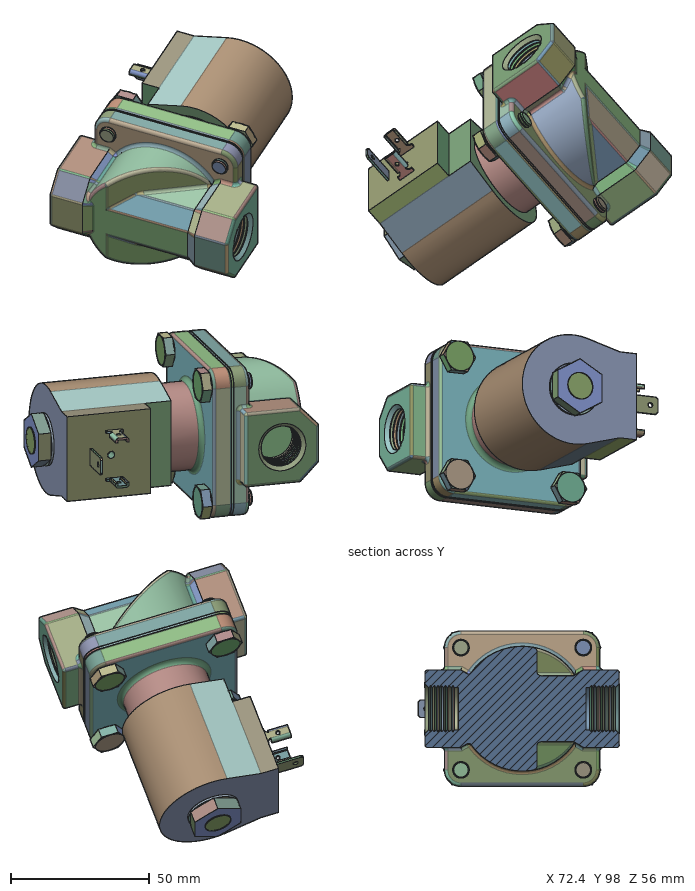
import cadquery as cq
import math


BODY_LENGTH = 70.0
PORT_HALF = 14.0
PORT_EDGE_RADIUS = 1.0
PORT_CHAMFER = 7.0
TAPER_OUTER_X = 22.0
TAPER_INNER_X = 18.5
PASSAGE_HALF = 11.9
PASSAGE_FLAT_HALF = 6.0
BOWL_FACE_Y = -12.0
LONG_EDGE_RADIUS = 1.0

THREAD_MINOR_RADIUS = 7.5
THREAD_MAJOR_RADIUS = 8.3
THREAD_PITCH = 1.34
THREAD_TURNS = 7
THREAD_FLANK = 0.7
PORT_MOUTH_RADIUS = 8.9
PORT_DEPTH = 12.0

BOWL_RADIUS = 22.5
BOWL_EDGE_RADIUS = 1.2
BOWL_CORNER_RADIUS = 1.1
SLOPE_START_X = -13.2
SLOPE_ANGLE = 32.8

FLANGE_SIZE = 56.0
FLANGE_CORNER_RADIUS = 6.0
FLANGE_EDGE_RADIUS = 1.3
FLANGE_BOTTOM_Y = 10.0
FLANGE_TOP_Y = 16.0
ROOT_RADIUS = 1.2
GASKET_INSET = 0.3
COVER_BOTTOM_Y = 16.75
COVER_TOP_Y = 23.75
COVER_TOP_EDGE_RADIUS = 1.0
COVER_BOTTOM_EDGE_RADIUS = 0.6
NECK_RADIUS = 16.05
NECK_ROOT_RADIUS = 1.8

BOLT_OFFSET = 22.0
BOLT_RADIUS = 3.0
BOLT_CORE_RADIUS = 2.6
BOLT_PITCH = 1.0
BOLT_TIP_TURNS = 3
BOLT_TIP_Y = 7.95
BOLT_COLLAR_RADIUS = 4.8
BOLT_HEAD_BOTTOM_Y = 24.25
BOLT_HEAD_TOP_Y = 27.7
BOLT_HEAD_FLATS = 11.0
BOLT_CROWN_HEIGHT = 0.2

COIL_BOTTOM_Y = 36.65
COIL_TOP_Y = 78.05
COIL_RADIUS = 20.3
COIL_BACK_X = -18.3
PLATE_BACK_X = -24.95
PLATE_BOTTOM_Y = 46.5
PLATE_HALF = 16.0
SCREW_HOLE_RADIUS = 1.3
SCREW_HOLE_Y = 61.4
SCREW_HOLE_DEPTH = 5.0

COLLAR_RADIUS = 9.6
NUT_BOTTOM_Y = 78.9
NUT_TOP_Y = 83.6
NUT_CORNER_RADIUS = 10.1
NUT_CROWN_RADIUS = 4.9
OVERALL_TOP_Y = 83.97

TERMINAL_WIDTH = 6.4
TERMINAL_THICKNESS = 0.8
BLADE_TIP_X = -37.42
BLADE_Y = 69.0
BLADE_CHAMFER = 0.8
BLADE_HOLE_X = -34.4
BLADE_HOLE_RADIUS = 0.9
CHANNEL_TIP_X = -35.05
CHANNEL_END_X = -27.6
CHANNEL_BASE_X = -26.3
CHANNEL_Y = 60.4
CHANNEL_OUTER_Z = 9.45
CHANNEL_WIDTH = 5.1
CHANNEL_DEPTH = 1.75
CHANNEL_BEND_RADIUS = 1.2
CHANNEL_HOLE_X = -30.75
CHANNEL_HOLE_RADIUS = 0.75
ROOT_STEP = 0.4
TERMINAL_NECK_HALF = 1.3

TOLERANCE = 0.01
BURIED = 1.0


def y_plane(y):
    """Sketch plane at height y, normal +Y; local x is X and local y is -Z."""
    return cq.Workplane(cq.Plane(origin=(0, y, 0), xDir=(1, 0, 0), normal=(0, 1, 0)))


def x_plane(x):
    """Sketch plane at x, normal +X; local x is Y and local y is Z."""
    return cq.Workplane(cq.Plane(origin=(x, 0, 0), xDir=(0, 1, 0), normal=(1, 0, 0)))


def disc(radius, y0, y1):
    return y_plane(y0).circle(radius).extrude(y1 - y0)


def hexagon(corner_radius, y0, y1):
    """Hexagonal prism along Y with a corner on the X axis."""
    return y_plane(y0).polygon(6, 2 * corner_radius).extrude(y1 - y0)


def rounded_square(size, corner_radius, y0, y1):
    return y_plane(y0).rect(size, size).extrude(y1 - y0).edges("|Y").fillet(corner_radius)


def section_points(half, flat_half, outer_y):
    """Square section with both outer corners cut at 45 degrees, as (Y, Z) points."""
    shoulder_y = outer_y + half - flat_half
    return [
        (PORT_HALF, -half),
        (PORT_HALF, half),
        (shoulder_y, half),
        (outer_y, flat_half),
        (outer_y, -flat_half),
        (shoulder_y, -half),
    ]


PORT_SECTION = section_points(PORT_HALF, PORT_HALF - PORT_CHAMFER, -PORT_HALF)
PASSAGE_SECTION = section_points(PASSAGE_HALF, PASSAGE_FLAT_HALF, BOWL_FACE_Y)


def flow_block(points, x0, x1):
    """Prism along X with its long edges rounded."""
    block = x_plane(x0).polyline(points).close().extrude(x1 - x0)
    return block.edges("|X").fillet(LONG_EDGE_RADIUS)


def make_flow_run():
    """Both port blocks, the passage between them and the tapers that join them."""
    half_length = BODY_LENGTH / 2
    port = flow_block(PORT_SECTION, TAPER_OUTER_X, half_length)
    passage = flow_block(PASSAGE_SECTION, -TAPER_INNER_X, TAPER_INNER_X)
    port_wire = port.faces("<X").wires().val()
    passage_wire = passage.faces(">X").wires().val()
    taper = cq.Workplane(cq.Solid.makeLoft([passage_wire, port_wire], True))
    end = port.faces(">X").edges().fillet(PORT_EDGE_RADIUS).union(taper)
    return passage.union(end).union(end.mirror("YZ"))


def make_slope_cutter():
    """Wedge that removes everything outside the bowl's slanted face."""
    half_width = BOWL_RADIUS + 2 * ROOT_RADIUS
    reach = 2 * BOWL_RADIUS
    rise = reach * math.tan(math.radians(SLOPE_ANGLE))
    return (
        cq.Workplane("XY").workplane(offset=-half_width)
        .moveTo(SLOPE_START_X, BOWL_FACE_Y)
        .lineTo(SLOPE_START_X + reach, BOWL_FACE_Y)
        .lineTo(SLOPE_START_X + reach, BOWL_FACE_Y + rise)
        .close()
        .extrude(2 * half_width)
    )


def make_bowl():
    """Round bowl whose outer face slopes away towards +X, with a flared root at the flange."""
    slope_cutter = make_slope_cutter()
    bowl = disc(BOWL_RADIUS, BOWL_FACE_Y, FLANGE_TOP_Y).cut(slope_cutter)
    bowl = bowl.edges("<Y or %ELLIPSE").fillet(BOWL_EDGE_RADIUS)
    root_radius = BOWL_RADIUS + ROOT_RADIUS
    flare = disc(root_radius, FLANGE_BOTTOM_Y - ROOT_RADIUS, FLANGE_BOTTOM_Y)
    groove = cq.Workplane(cq.Solid.makeTorus(
        root_radius, ROOT_RADIUS, cq.Vector(0, FLANGE_BOTTOM_Y - ROOT_RADIUS, 0), cq.Vector(0, 1, 0)
    ))
    return bowl.union(flare.cut(groove).cut(slope_cutter))


def make_port_cutter():
    """Blind bore for the +X port with ring-shaped thread grooves and a countersunk mouth."""
    mouth_x = BODY_LENGTH / 2
    mouth_depth = PORT_MOUTH_RADIUS - THREAD_MINOR_RADIUS
    groove_half = (THREAD_MAJOR_RADIUS - THREAD_MINOR_RADIUS) * THREAD_FLANK
    profile = cq.Workplane("XY").moveTo(mouth_x, 0).lineTo(mouth_x, PORT_MOUTH_RADIUS)
    profile = profile.lineTo(mouth_x - mouth_depth, THREAD_MINOR_RADIUS)
    first_groove_x = mouth_x - mouth_depth - THREAD_PITCH / 2
    for turn in range(THREAD_TURNS):
        groove_x = first_groove_x - turn * THREAD_PITCH
        profile = (
            profile.lineTo(groove_x + groove_half, THREAD_MINOR_RADIUS)
            .lineTo(groove_x, THREAD_MAJOR_RADIUS)
            .lineTo(groove_x - groove_half, THREAD_MINOR_RADIUS)
        )
    end_x = mouth_x - PORT_DEPTH
    profile = profile.lineTo(end_x, THREAD_MINOR_RADIUS).lineTo(end_x, 0).close()
    return profile.revolve(360, (0, 0, 0), (1, 0, 0))


def is_bowl_corner(edge):
    """True for the inside corners where the bowl meets the passage or the -X taper."""
    middle = edge.positionAt(0.5)
    slope_y = BOWL_FACE_Y + (middle.x - SLOPE_START_X) * math.tan(math.radians(SLOPE_ANGLE))
    on_slope = abs(middle.y - slope_y) < TOLERANCE
    on_round = abs(math.hypot(middle.x, middle.z) - BOWL_RADIUS) < TOLERANCE and middle.x < 0
    past_rim = middle.y > BOWL_FACE_Y + BOWL_EDGE_RADIUS + TOLERANCE
    beside_run = abs(middle.z) < PORT_HALF
    return (on_slope or on_round) and past_rim and beside_run


def make_body():
    """Valve body with its flange and threaded ports."""
    flange = rounded_square(FLANGE_SIZE, FLANGE_CORNER_RADIUS, FLANGE_BOTTOM_Y, FLANGE_TOP_Y)
    flange = flange.faces("<Y").edges().fillet(FLANGE_EDGE_RADIUS)
    body = flange.union(make_flow_run())
    side = FLANGE_SIZE / 2 + TOLERANCE
    reach = PORT_HALF + TOLERANCE
    root_edges = cq.selectors.BoxSelector(
        (-side, FLANGE_BOTTOM_Y - TOLERANCE, -reach), (side, reach, reach)
    )
    body = body.edges(root_edges).fillet(ROOT_RADIUS).union(make_bowl())
    bowl_corners = [edge for edge in body.edges().vals() if is_bowl_corner(edge)]
    body = body.newObject(bowl_corners).fillet(BOWL_CORNER_RADIUS)
    port_cutter = make_port_cutter()
    return body.cut(port_cutter).cut(port_cutter.mirror("YZ"))


def make_cover():
    """Gasket, cover plate and the neck that carries the coil."""
    gasket_size = FLANGE_SIZE - 2 * GASKET_INSET
    gasket_corner = FLANGE_CORNER_RADIUS - GASKET_INSET
    gasket = rounded_square(gasket_size, gasket_corner, FLANGE_TOP_Y, COVER_BOTTOM_Y)
    plate = rounded_square(FLANGE_SIZE, FLANGE_CORNER_RADIUS, COVER_BOTTOM_Y, COVER_TOP_Y)
    plate = plate.faces(">Y").edges().fillet(COVER_TOP_EDGE_RADIUS)
    plate = plate.faces("<Y").edges().fillet(COVER_BOTTOM_EDGE_RADIUS)
    flared_radius = NECK_RADIUS + NECK_ROOT_RADIUS
    flare_top_y = COVER_TOP_Y + NECK_ROOT_RADIUS
    neck = (
        cq.Workplane("XY").moveTo(0, COVER_TOP_Y)
        .lineTo(flared_radius, COVER_TOP_Y)
        .radiusArc((NECK_RADIUS, flare_top_y), NECK_ROOT_RADIUS)
        .lineTo(NECK_RADIUS, COIL_BOTTOM_Y)
        .lineTo(0, COIL_BOTTOM_Y)
        .close()
        .revolve(360, (0, 0, 0), (0, 1, 0))
    )
    return gasket.union(plate).union(neck)


def make_bolt():
    """Pieces of a hexagon bolt on the Y axis: head, crown, collar and ring-grooved tip."""
    head = hexagon(BOLT_HEAD_FLATS / math.sqrt(3), BOLT_HEAD_BOTTOM_Y, BOLT_HEAD_TOP_Y)
    crown = disc(BOLT_HEAD_FLATS / 2, BOLT_HEAD_TOP_Y, BOLT_HEAD_TOP_Y + BOLT_CROWN_HEIGHT)
    collar = disc(BOLT_COLLAR_RADIUS, COVER_TOP_Y, BOLT_HEAD_BOTTOM_Y)
    tip = cq.Workplane("XY").moveTo(0, BOLT_TIP_Y).lineTo(BOLT_CORE_RADIUS, BOLT_TIP_Y)
    for turn in range(BOLT_TIP_TURNS):
        turn_y = BOLT_TIP_Y + turn * BOLT_PITCH
        tip = tip.lineTo(BOLT_RADIUS, turn_y + BOLT_PITCH / 2)
        tip = tip.lineTo(BOLT_CORE_RADIUS, turn_y + BOLT_PITCH)
    tip = tip.lineTo(0, BOLT_TIP_Y + BOLT_TIP_TURNS * BOLT_PITCH).close()
    tip = tip.revolve(360, (0, 0, 0), (0, 1, 0))
    return head, crown, collar, tip


def make_coil():
    """Round coil running tangentially into a flat back, with the terminal plate on that back."""
    height = COIL_TOP_Y - COIL_BOTTOM_Y
    edge_distance = math.hypot(COIL_BACK_X, PLATE_HALF)
    tangent_angle = math.atan2(PLATE_HALF, COIL_BACK_X) - math.acos(COIL_RADIUS / edge_distance)
    tangent_x = COIL_RADIUS * math.cos(tangent_angle)
    tangent_z = COIL_RADIUS * math.sin(tangent_angle)
    coil = (
        y_plane(COIL_BOTTOM_Y)
        .moveTo(COIL_BACK_X, PLATE_HALF)
        .lineTo(tangent_x, tangent_z)
        .threePointArc((COIL_RADIUS, 0), (tangent_x, -tangent_z))
        .lineTo(COIL_BACK_X, -PLATE_HALF)
        .close()
        .extrude(height)
    )
    plate_depth = COIL_BACK_X - PLATE_BACK_X
    plate_height = COIL_TOP_Y - PLATE_BOTTOM_Y
    plate = cq.Workplane("XY").box(
        plate_depth, plate_height, 2 * PLATE_HALF, centered=(False, False, True)
    ).translate((PLATE_BACK_X, PLATE_BOTTOM_Y, 0))
    screw_hole = (
        x_plane(PLATE_BACK_X).center(SCREW_HOLE_Y, 0).circle(SCREW_HOLE_RADIUS).extrude(SCREW_HOLE_DEPTH)
    )
    return coil.union(plate).cut(screw_hole)


def make_top_nut():
    """Collar, hexagon nut with a corner on the Z axis, and its small crown."""
    collar = disc(COLLAR_RADIUS, COIL_TOP_Y, NUT_BOTTOM_Y)
    nut = hexagon(NUT_CORNER_RADIUS, NUT_BOTTOM_Y, NUT_TOP_Y).rotate((0, 0, 0), (0, 1, 0), 30)
    crown = disc(NUT_CROWN_RADIUS, NUT_TOP_Y, OVERALL_TOP_Y)
    return collar.union(nut).union(crown)


def make_earth_blade():
    """Flat earth terminal, square to the Y axis."""
    length = PLATE_BACK_X + BURIED - BLADE_TIP_X
    blade = cq.Workplane("XY").box(
        length, TERMINAL_THICKNESS, TERMINAL_WIDTH, centered=(False, True, True)
    ).translate((BLADE_TIP_X, BLADE_Y, 0))
    blade = blade.faces("<X").edges("|Y").chamfer(BLADE_CHAMFER)
    hole = disc(BLADE_HOLE_RADIUS, BLADE_Y - TERMINAL_THICKNESS, BLADE_Y + TERMINAL_THICKNESS)
    return blade.cut(hole.translate((BLADE_HOLE_X, 0, 0)))


def make_channel_terminal():
    """Upper terminal: a folded channel, open towards the XY plane, on a necked flat root."""
    half = CHANNEL_WIDTH / 2
    inner_half = half - TERMINAL_THICKNESS
    leg_z = CHANNEL_OUTER_Z - CHANNEL_DEPTH
    inner_z = CHANNEL_OUTER_Z - TERMINAL_THICKNESS
    channel = (
        x_plane(CHANNEL_TIP_X)
        .moveTo(CHANNEL_Y - half, leg_z)
        .lineTo(CHANNEL_Y - half, CHANNEL_OUTER_Z - CHANNEL_BEND_RADIUS)
        .radiusArc((CHANNEL_Y - half + CHANNEL_BEND_RADIUS, CHANNEL_OUTER_Z), CHANNEL_BEND_RADIUS)
        .lineTo(CHANNEL_Y + half - CHANNEL_BEND_RADIUS, CHANNEL_OUTER_Z)
        .radiusArc((CHANNEL_Y + half, CHANNEL_OUTER_Z - CHANNEL_BEND_RADIUS), CHANNEL_BEND_RADIUS)
        .lineTo(CHANNEL_Y + half, leg_z)
        .lineTo(CHANNEL_Y + inner_half, leg_z)
        .lineTo(CHANNEL_Y + inner_half, inner_z)
        .lineTo(CHANNEL_Y - inner_half, inner_z)
        .lineTo(CHANNEL_Y - inner_half, leg_z)
        .close()
        .extrude(CHANNEL_END_X - CHANNEL_TIP_X)
    )
    root_half = TERMINAL_WIDTH / 2
    flare = root_half - TERMINAL_NECK_HALF - ROOT_STEP
    root_end_x = PLATE_BACK_X + BURIED
    root = (
        cq.Workplane("XY").workplane(offset=inner_z)
        .moveTo(CHANNEL_END_X - BURIED, CHANNEL_Y - TERMINAL_NECK_HALF)
        .lineTo(CHANNEL_BASE_X - flare, CHANNEL_Y - TERMINAL_NECK_HALF)
        .radiusArc((CHANNEL_BASE_X, CHANNEL_Y - TERMINAL_NECK_HALF - flare), flare)
        .lineTo(CHANNEL_BASE_X, CHANNEL_Y - root_half)
        .lineTo(root_end_x, CHANNEL_Y - root_half)
        .lineTo(root_end_x, CHANNEL_Y + root_half)
        .lineTo(CHANNEL_BASE_X, CHANNEL_Y + root_half)
        .lineTo(CHANNEL_BASE_X, CHANNEL_Y + TERMINAL_NECK_HALF + flare)
        .radiusArc((CHANNEL_BASE_X - flare, CHANNEL_Y + TERMINAL_NECK_HALF), flare)
        .lineTo(CHANNEL_END_X - BURIED, CHANNEL_Y + TERMINAL_NECK_HALF)
        .close()
        .extrude(TERMINAL_THICKNESS)
    )
    hole = (
        cq.Workplane("XY").workplane(offset=leg_z)
        .center(CHANNEL_HOLE_X, CHANNEL_Y).circle(CHANNEL_HOLE_RADIUS).extrude(CHANNEL_DEPTH)
    )
    return channel.union(root).cut(hole)


def make_valve():
    """Complete valve joined into one solid."""
    valve = make_body().union(make_cover()).union(make_coil()).union(make_top_nut())
    for x in (-BOLT_OFFSET, BOLT_OFFSET):
        for z in (-BOLT_OFFSET, BOLT_OFFSET):
            for piece in make_bolt():
                valve = valve.union(piece.translate((x, 0, z)))
    terminal = make_channel_terminal()
    return valve.union(make_earth_blade()).union(terminal).union(terminal.mirror("XY"))


result = make_valve()